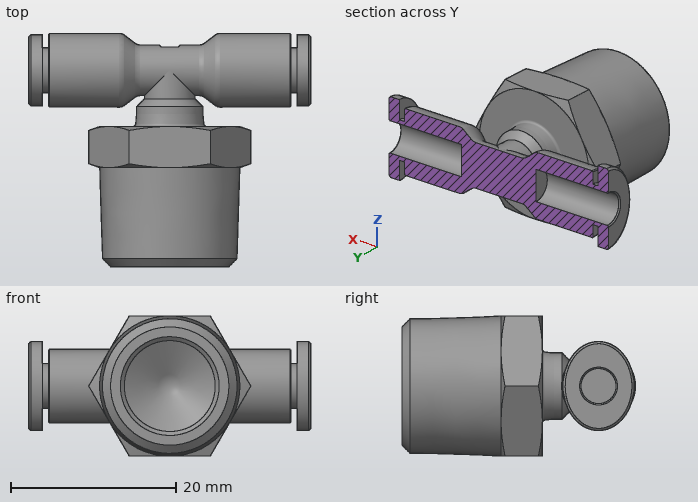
import cadquery as cq
import math

half_length = 17.1
body_radius = 4.48
neck_radius = 3.08

neck_end = 3.95
shoulder_end = 5.78
shoulder_blend = 1.0
body_end = 14.67
body_edge_chamfer = 0.15
sleeve_radius = 2.75
collar_half_width = 4.3
collar_half_height = 5.4
collar_thickness = 1.68
collar_chamfer = 0.27
tube_radius = 2.12
tube_depth = 11.3
tube_chamfer = 0.17

recess_width = 2.05
recess_depth = 0.25

spigot_radius = 4.05
spigot_cone_start = 3.45
spigot_cone_end = spigot_cone_start + spigot_radius - neck_radius
flare_start = 5.35
flare_radius = 4.15
flare_end = 6.45
hex_start = 6.8
hex_thickness = 5.0
hex_across_flats = 17.0
hex_corner_drop = 0.48
thread_end = 23.8
thread_taper = 1 / 32
thread_chamfer = 1.0
bore_radius = 5.5
bore_depth = 15.4
bore_chamfer = 0.48
drill_half_angle = 59.0

hex_end = hex_start + hex_thickness
flat_radius = hex_across_flats / 2
corner_radius = flat_radius / math.cos(math.radians(30))


def turn_about_branch(points):
    """Revolve (radius, distance) points about the branch axis."""
    outline = cq.Workplane("XY").polyline([(r, -d) for r, d in points]).close()
    return outline.revolve(360, (0, 0), (0, 1))


def make_run():
    """Run of the tee: slim neck in the middle, a shoulder and socket body at each end."""
    run = (
        cq.Workplane("XY")
        .polyline([
            (-body_end, 0),
            (-body_end, body_radius),
            (-shoulder_end, body_radius),
            (-neck_end, neck_radius),
            (neck_end, neck_radius),
            (shoulder_end, body_radius),
            (body_end, body_radius),
            (body_end, 0),
        ])
        .close()
        .revolve(360, (0, 0), (1, 0))
    )
    for corner_x in (-shoulder_end, -neck_end, neck_end, shoulder_end):
        slab = cq.selectors.BoxSelector(
            (corner_x - 0.35, -half_length, -half_length),
            (corner_x + 0.35, half_length, half_length),
            boundingbox=True,
        )
        run = run.edges(slab).fillet(shoulder_blend)
    return run.faces("<X or >X").edges().chamfer(body_edge_chamfer)


def make_release():
    """Release sleeve and elliptical collar at the +X end."""
    collar_start = half_length - collar_thickness
    sleeve = cq.Workplane("YZ").circle(sleeve_radius).extrude(collar_start)
    collar = (
        cq.Workplane("YZ", origin=(collar_start, 0, 0))
        .ellipse(collar_half_width, collar_half_height)
        .extrude(collar_thickness)
        .faces(">X")
        .edges()
        .chamfer(collar_chamfer)
    )
    return sleeve.union(collar)


def make_tube_hole():
    """Blind tube hole at the +X end, chamfered at the mouth."""
    hole_floor = half_length - tube_depth
    mouth_radius = tube_radius + tube_chamfer
    return (
        cq.Workplane("XY")
        .polyline([
            (hole_floor, 0),
            (hole_floor, tube_radius),
            (half_length - tube_chamfer, tube_radius),
            (half_length, mouth_radius),
            (half_length, 0),
        ])
        .close()
        .revolve(360, (0, 0), (1, 0))
    )


def make_spigot():
    """Branch neck, widening to the spigot and flaring into the hexagon."""
    flare_blend = hex_start - flare_end
    outline = (
        cq.Workplane("XY")
        .moveTo(0, 0)
        .lineTo(neck_radius, 0)
        .lineTo(neck_radius, -spigot_cone_start)
        .lineTo(spigot_radius, -spigot_cone_end)
        .lineTo(spigot_radius, -flare_start)
        .lineTo(flare_radius, -flare_end)
        .radiusArc((flare_radius + flare_blend, -hex_start), -flare_blend)
        .lineTo(0, -hex_start)
        .close()
    )
    spigot = outline.revolve(360, (0, 0), (0, 1))
    mitre = (
        cq.Workplane("XY")
        .polyline([(0, 0), (hex_start, -hex_start), (-hex_start, -hex_start)])
        .close()
        .extrude(hex_start, both=True)
    )
    return spigot.intersect(mitre)


def make_hexagon():
    """Hexagon with its corners turned off conically on both faces."""
    prism = (
        cq.Workplane("XZ", origin=(0, -hex_start, 0))
        .polygon(6, 2 * corner_radius)
        .extrude(hex_thickness)
    )
    envelope = turn_about_branch([
        (0, hex_start),
        (flat_radius, hex_start),
        (corner_radius, hex_start + hex_corner_drop),
        (corner_radius, hex_end - hex_corner_drop),
        (flat_radius, hex_end),
        (0, hex_end),
    ])
    return prism.intersect(envelope)


def make_thread():
    """Tapered male thread envelope with a lead-in chamfer."""
    chamfer_start = thread_end - thread_chamfer
    small_radius = flat_radius - thread_taper * (chamfer_start - hex_end)
    return turn_about_branch([
        (0, hex_end),
        (flat_radius, hex_end),
        (small_radius, chamfer_start),
        (small_radius - thread_chamfer, thread_end),
        (0, thread_end),
    ])


def make_bore():
    """Blind drilled bore with a conical floor and a chamfered mouth."""
    floor = thread_end - bore_depth
    tip = floor - bore_radius / math.tan(math.radians(drill_half_angle))
    return turn_about_branch([
        (0, tip),
        (bore_radius, floor),
        (bore_radius, thread_end - bore_chamfer),
        (bore_radius + bore_chamfer, thread_end),
        (0, thread_end),
    ])


def make_recess():
    """Shallow flat cut across the back of the neck with ends sloping out at 45 degrees."""
    floor_y = neck_radius - recess_depth
    floor_end = recess_width / 2
    rim_end = floor_end + recess_depth
    return (
        cq.Workplane("XY")
        .polyline([
            (-floor_end, floor_y),
            (floor_end, floor_y),
            (rim_end, neck_radius),
            (-rim_end, neck_radius),
        ])
        .close()
        .extrude(neck_radius, both=True)
    )


release = make_release()
tube_hole = make_tube_hole()

tee = make_run().union(release).union(release.mirror("YZ"))
tee = tee.union(make_spigot()).union(make_hexagon()).union(make_thread())
tee = tee.cut(tube_hole).cut(tube_hole.mirror("YZ"))
result = tee.cut(make_bore()).cut(make_recess())